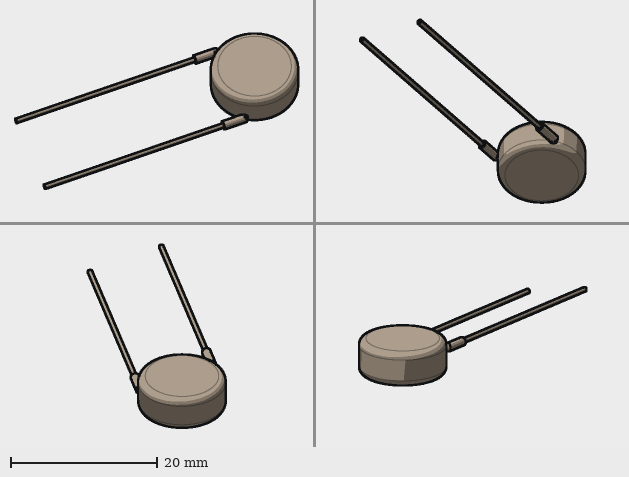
import cadquery as cq
import math


disc_diameter = 12.0
disc_thickness = 5.0
disc_edge_radius = 1.0

overall_length = 39.25
lead_spacing = 10.0
lead_level_spacing = 2.6
wire_diameter = 0.65

sleeve_diameter = 1.2
sleeve_bend_distance = 3.75
sleeve_end_distance = 6.75

disc_radius = disc_diameter / 2
wire_end_distance = overall_length - disc_radius

lead_positions = [
    (-lead_spacing / 2, lead_level_spacing / 2),
    (lead_spacing / 2, -lead_level_spacing / 2),
]


def make_disc():
    """Round disc with both rims rounded."""
    return cq.Workplane("XY").cylinder(disc_thickness, disc_radius).edges().fillet(disc_edge_radius)


def make_sleeve(x, z):
    """Sleeve that leaves the disc radially, then turns at a mitred corner to run toward -Y."""
    bend_radius = math.hypot(x, sleeve_bend_distance)
    start = cq.Vector(x / 2, -sleeve_bend_distance / 2, z)
    bend = cq.Vector(x, -sleeve_bend_distance, z)
    end = cq.Vector(x, -sleeve_end_distance, z)
    path = cq.Workplane("XY").polyline([start, bend, end])
    outward = cq.Vector(x / bend_radius, -sleeve_bend_distance / bend_radius, 0)
    start_plane = cq.Plane(origin=start, xDir=(0, 0, 1), normal=outward)
    return cq.Workplane(start_plane).circle(sleeve_diameter / 2).sweep(path, transition="right")


def make_coated_disc():
    """Disc and both sleeves as one continuous coating."""
    body = make_disc()
    for x, z in lead_positions:
        body = body.union(make_sleeve(x, z))
    return body


def make_wire(x, z):
    """Straight wire from the end face of a sleeve to the tip of the lead."""
    wire_start = cq.Plane(origin=(x, -sleeve_end_distance, z), xDir=(1, 0, 0), normal=(0, -1, 0))
    wire_length = wire_end_distance - sleeve_end_distance
    return cq.Workplane(wire_start).circle(wire_diameter / 2).extrude(wire_length)


coated_disc = make_coated_disc()
lead_wires = [make_wire(x, z) for x, z in lead_positions]

result = cq.Compound.makeCompound([coated_disc.solids().val(), *[wire.val() for wire in lead_wires]])